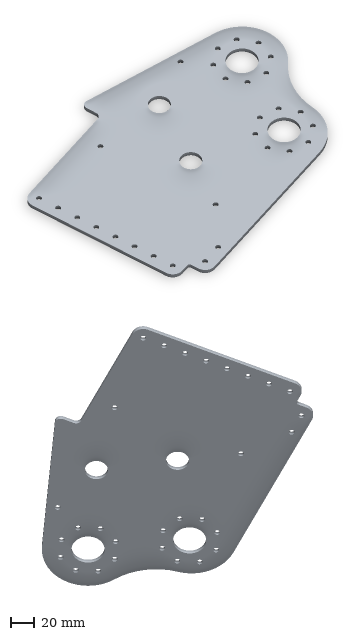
import cadquery as cq
import math

thickness = 4.0
height = 281.0
width = 200.0
ledge_overhang = 20.0
ledge_height = 120.0
foot_width = 160.0
notch_height = 20.0
right_edge = width - ledge_overhang

lobe_radius = 40.0
valley_radius = 64.0
corner_radius = 10.0
tip_radius = 5.0
ledge_fillet = 5.0
notch_fillet = 2.5

left_lobe = (65.0, height - lobe_radius)
right_lobe = (right_edge - lobe_radius, 191.0)
right_bearing = (right_lobe[0], 195.0)
tip_center = (tip_radius - ledge_overhang, ledge_height + tip_radius)

screw_diameter = 5.0
bearing_diameter = 28.7
bolt_circle_radius = 25.3
bolts_per_bearing = 8
shaft_diameter = 20.0
shaft_centers = [(34.5, 158.8), (94.0, ledge_height)]
edge_margin = 10.0
foot_screw_count = 8
side_screw_heights = [30.0, 50.0]
middle_screw_height = 90.0
middle_screws = [(20.0, middle_screw_height), (right_lobe[0], middle_screw_height)]
slope_screw = (21.5, 210.2)


def on_circle(center, radius, angle):
    """Point on a circle, with the angle in radians from +X."""
    return (center[0] + radius * math.cos(angle), center[1] + radius * math.sin(angle))


def plate():
    slope_dx = left_lobe[0] - tip_center[0]
    slope_dy = left_lobe[1] - tip_center[1]
    center_line = math.atan2(slope_dy, slope_dx)
    radius_gain = math.asin((lobe_radius - tip_radius) / math.hypot(slope_dx, slope_dy))
    slope_normal = center_line + radius_gain + math.pi / 2

    valley_dx = right_lobe[0] - left_lobe[0]
    valley_dy = right_lobe[1] - left_lobe[1]
    base_angle = math.atan2(valley_dy, valley_dx)
    side_length = lobe_radius + valley_radius
    apex_lean = math.acos(math.hypot(valley_dx, valley_dy) / 2 / side_length)
    left_join_angle = base_angle + apex_lean
    right_join_angle = base_angle + math.pi - apex_lean
    valley_center = on_circle(left_lobe, side_length, left_join_angle)
    valley_bottom = on_circle(valley_center, valley_radius, base_angle - math.pi / 2)

    tip_mid_angle = (slope_normal + 3 * math.pi / 2) / 2
    outline = (
        cq.Workplane("XY")
        .lineTo(foot_width, 0)
        .lineTo(foot_width, notch_height)
        .lineTo(right_edge, notch_height)
        .lineTo(right_edge, right_lobe[1])
        .threePointArc(
            on_circle(right_lobe, lobe_radius, right_join_angle / 2),
            on_circle(right_lobe, lobe_radius, right_join_angle),
        )
        .threePointArc(valley_bottom, on_circle(left_lobe, lobe_radius, left_join_angle))
        .threePointArc(
            on_circle(left_lobe, lobe_radius, math.pi / 2),
            on_circle(left_lobe, lobe_radius, slope_normal),
        )
        .lineTo(*on_circle(tip_center, tip_radius, slope_normal))
        .threePointArc(
            on_circle(tip_center, tip_radius, tip_mid_angle),
            (tip_center[0], ledge_height),
        )
        .lineTo(0, ledge_height)
        .close()
    )
    return outline.extrude(thickness)


def round_corners(body, points, radius):
    """Fillet the upright edges standing at the given points."""
    for x, y in points:
        edge = cq.selectors.NearestToPointSelector((x, y, thickness / 2))
        body = body.edges("|Z").edges(edge).fillet(radius)
    return body


def drill(body, points, diameter):
    cutter = cq.Workplane("XY").pushPoints(points).circle(diameter / 2).extrude(thickness)
    return body.cut(cutter)


def bolt_circle(center):
    step = 2 * math.pi / bolts_per_bearing
    return [on_circle(center, bolt_circle_radius, i * step) for i in range(bolts_per_bearing)]


outer_corners = [(0, 0), (foot_width, 0), (right_edge, notch_height)]
result = round_corners(plate(), outer_corners, corner_radius)
result = round_corners(result, [(0, ledge_height)], ledge_fillet)
result = round_corners(result, [(foot_width, notch_height)], notch_fillet)

for center in (left_lobe, right_bearing):
    result = drill(result, [center], bearing_diameter)
    result = drill(result, bolt_circle(center), screw_diameter)

result = drill(result, shaft_centers, shaft_diameter)

foot_pitch = (foot_width - 2 * edge_margin) / (foot_screw_count - 1)
foot_screws = [(edge_margin + i * foot_pitch, edge_margin) for i in range(foot_screw_count)]
side_screws = [(right_edge - edge_margin, y) for y in side_screw_heights]
result = drill(result, foot_screws + side_screws + middle_screws + [slope_screw], screw_diameter)